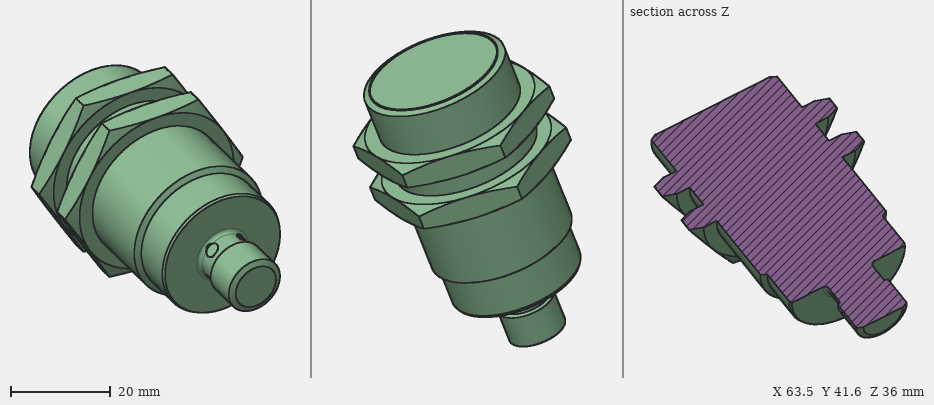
import cadquery as cq
import math

total_length = 63.5

barrel_radius = 30.0 / 2
barrel_end = 41.9
barrel_chamfer_length = 0.7
face_rim_radius = 27.3 / 2

face_disc_radius = 26.9 / 2
face_groove_depth = 0.2

collar_radius = 27.5 / 2
collar_end = 50.6
collar_chamfer_length = 0.6
collar_end_radius = 26.9 / 2

neck_radius = 10.55 / 2
neck_fillet = 0.8
plug_radius = 12.0 / 2
plug_start = 55.55
plug_front_chamfer = 0.4
plug_end_chamfer = 0.6
plug_end_radius = 9.4 / 2

window_count = 4
window_first_angle = 45.0
window_radius = 3.0 / 2
window_position = 52.5
window_floor_height = 4.95

nut_across_flats = 36.0
nut_across_corners = nut_across_flats / math.cos(math.radians(30))
nut_thickness = 5.0
nut_starts = (10.0, 20.0)
nut_chamfer_angle = 20.0


def make_body():
    """Barrel, collar, neck and plug as one profile revolved about X."""
    fillet_mid = neck_fillet * (1 - math.sqrt(0.5))
    profile = (
        cq.Workplane("XY")
        .lineTo(0, face_disc_radius)
        .lineTo(face_groove_depth, face_disc_radius)
        .lineTo(face_groove_depth, face_rim_radius)
        .lineTo(0, face_rim_radius)
        .lineTo(barrel_chamfer_length, barrel_radius)
        .lineTo(barrel_end - barrel_chamfer_length, barrel_radius)
        .lineTo(barrel_end, collar_radius)
        .lineTo(collar_end - collar_chamfer_length, collar_radius)
        .lineTo(collar_end, collar_end_radius)
        .lineTo(collar_end, neck_radius + neck_fillet)
        .threePointArc(
            (collar_end + fillet_mid, neck_radius + fillet_mid),
            (collar_end + neck_fillet, neck_radius),
        )
        .lineTo(plug_start, neck_radius)
        .lineTo(plug_start + plug_front_chamfer, plug_radius)
        .lineTo(total_length - plug_end_chamfer, plug_radius)
        .lineTo(total_length, plug_end_radius)
        .lineTo(total_length, 0)
        .close()
    )
    return profile.revolve(360, (0, 0, 0), (1, 0, 0))


def make_nut(start):
    """Hexagonal nut with corners on Y, both faces chamfered conically."""
    flat_radius = nut_across_flats / 2
    corner_radius = nut_across_corners / 2
    corner_drop = (corner_radius - flat_radius) * math.tan(math.radians(nut_chamfer_angle))
    hexagon = (
        cq.Workplane("YZ", origin=(start, 0, 0))
        .polygon(6, nut_across_corners)
        .extrude(nut_thickness)
    )
    chamfer_envelope = (
        cq.Workplane("XY", origin=(start, 0, 0))
        .lineTo(0, flat_radius)
        .lineTo(corner_drop, corner_radius)
        .lineTo(nut_thickness - corner_drop, corner_radius)
        .lineTo(nut_thickness, flat_radius)
        .lineTo(nut_thickness, 0)
        .close()
        .revolve(360, (0, 0, 0), (1, 0, 0))
    )
    return hexagon.intersect(chamfer_envelope)


def make_window_cutter(angle):
    """Radial cylinder that sinks one flat-bottomed window into the neck."""
    cutter_height = neck_radius + neck_fillet - window_floor_height
    return (
        cq.Workplane("XY", origin=(window_position, 0, window_floor_height))
        .circle(window_radius)
        .extrude(cutter_height)
        .rotate((0, 0, 0), (1, 0, 0), angle)
    )


result = make_body()
for nut_start in nut_starts:
    result = result.union(make_nut(nut_start))
for index in range(window_count):
    window_angle = window_first_angle + index * 360 / window_count
    result = result.cut(make_window_cutter(window_angle))